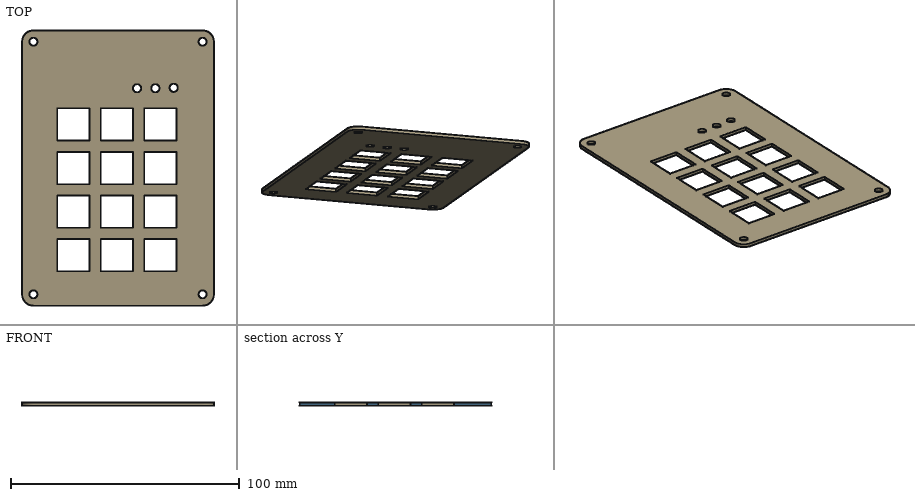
import cadquery as cq

PLATE_WIDTH = 84.0
PLATE_LENGTH = 120.5
PLATE_THICKNESS = 1.5
CORNER_RADIUS = 5.0

MOUNTING_HOLE_DIAMETER = 3.4
MOUNTING_HOLE_SPACING_X = PLATE_WIDTH - 2 * CORNER_RADIUS
MOUNTING_HOLE_SPACING_Y = PLATE_LENGTH - 2 * CORNER_RADIUS

KEY_OPENING = 14.0
KEY_PITCH = 19.05
KEY_COLUMNS = 3
KEY_ROWS = 4
KEY_GRID_CENTER_X = -0.475
KEY_GRID_CENTER_Y = -KEY_PITCH / 2

INDICATOR_HOLE_DIAMETER = 3.5
INDICATOR_HOLE_CENTERS = [(8.35, 34.9), (16.35, 34.9), (24.35, 35.1)]


def make_plate():
    """Rounded rectangular plate centered on the origin."""
    plate = cq.Workplane("XY").box(PLATE_WIDTH, PLATE_LENGTH, PLATE_THICKNESS)
    return plate.edges("|Z").fillet(CORNER_RADIUS)


def top_face(plate):
    """Workplane on the upper face with its origin on the plate's center axis."""
    return plate.faces(">Z").workplane(origin=(0, 0, 0))


def cut_mounting_holes(plate):
    """One through hole in each corner."""
    corners = top_face(plate).rarray(MOUNTING_HOLE_SPACING_X, MOUNTING_HOLE_SPACING_Y, 2, 2)
    return corners.hole(MOUNTING_HOLE_DIAMETER)


def cut_key_openings(plate):
    """Grid of square through openings."""
    grid_center = top_face(plate).center(KEY_GRID_CENTER_X, KEY_GRID_CENTER_Y)
    keys = grid_center.rarray(KEY_PITCH, KEY_PITCH, KEY_COLUMNS, KEY_ROWS)
    return keys.rect(KEY_OPENING, KEY_OPENING).cutThruAll()


def cut_indicator_holes(plate):
    """Row of three through holes."""
    return top_face(plate).pushPoints(INDICATOR_HOLE_CENTERS).hole(INDICATOR_HOLE_DIAMETER)


plate = make_plate()
plate = cut_mounting_holes(plate)
plate = cut_key_openings(plate)
result = cut_indicator_holes(plate)